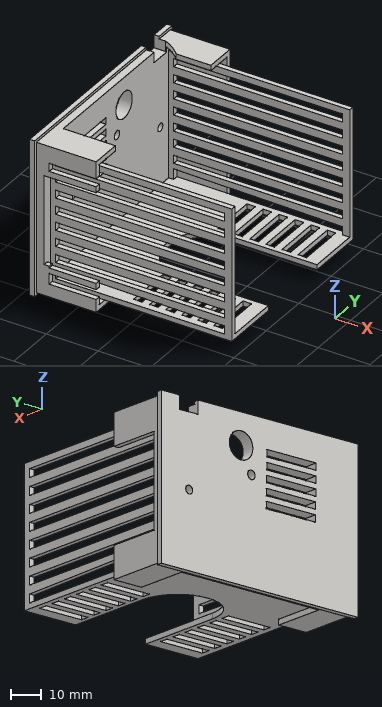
import cadquery as cq

WIDTH = 84.9
HEIGHT = 60.0
LENGTH = 75.0
SHEET = 2.0

PANEL_DEPTH = 5.0
RIM = 1.0

ANGLE_END = 25.1
ANGLE_LEG = 11.9

TRAY_CENTRE_Y = 0.1
TRAY_WIDTH = 75.0
TRAY_BOTTOM = 4.0
TRAY_TOP = 55.0
FLOOR_TOP = TRAY_BOTTOM + SHEET

BAY_CENTRE_Y = 0.3
BAY_WIDTH = 30.0
BAY_START = 26.1

WALL_SLOT_START = 7.0
WALL_SLOT_END = 72.1
WALL_SLOT_HEIGHT = 3.05
WALL_SLOT_PITCH = 6.2
WALL_SLOT_COUNT = 8
LOWEST_SLOT_RISE = 1.0

FLOOR_SLOT_START = 35.4
FLOOR_SLOT_WIDTH = 3.2
FLOOR_SLOT_PITCH = 6.2
FLOOR_SLOT_COUNT = 6
FLOOR_SLOT_LENGTH = 18.0
FLOOR_SLOT_EDGE = 2.0

VENT_LENGTH = 21.1
VENT_HEIGHT = 2.55
VENT_PITCH = 4.5
VENT_COUNT = 5
TOP_VENT_Y = -13.7
TOP_VENT_Z = 48.1
VENT_SHIFT = 0.1

PANEL_HOLES = [
    (8.1, 48.4, 10.0),
    (3.65, 39.1, 3.2),
    (30.5, 28.1, 3.0),
]

NOTCH_Y_MIN = 26.6
NOTCH_Y_MAX = 34.5
NOTCH_DEPTH = 5.0
RELIEF_X = -3.0
RELIEF_Y = 15.9
RELIEF_RADIUS = 20.0


def block(x_range, y_range, z_range):
    """Box spanning the given (low, high) limits."""
    size = [high - low for low, high in (x_range, y_range, z_range)]
    corner = (x_range[0], y_range[0], z_range[0])
    return cq.Workplane("XY").box(*size, centered=False).translate(corner)


def make_panel():
    front = block((0, SHEET), (-WIDTH / 2, WIDTH / 2), (0, HEIGHT))
    backing = block(
        (0, PANEL_DEPTH),
        (RIM - WIDTH / 2, WIDTH / 2 - RIM),
        (RIM, HEIGHT - RIM),
    )
    return front.union(backing)


def make_angles():
    """Four corner angles: a square tube stripped down to its corners."""
    half_width = WIDTH / 2 - RIM
    span = (0, ANGLE_END)
    tube = block(span, (-half_width, half_width), (RIM, HEIGHT - RIM))
    inner = half_width - SHEET
    tube = tube.cut(block(span, (-inner, inner), (RIM + SHEET, HEIGHT - RIM - SHEET)))
    gap_y = half_width - ANGLE_LEG
    tube = tube.cut(block(span, (-gap_y, gap_y), (0, HEIGHT)))
    gap_z = (RIM + ANGLE_LEG, HEIGHT - RIM - ANGLE_LEG)
    return tube.cut(block(span, (-WIDTH / 2, WIDTH / 2), gap_z))


def make_tray():
    """Two side walls joined by a floor with an open-ended round cut-out."""
    low_y = TRAY_CENTRE_Y - TRAY_WIDTH / 2
    high_y = TRAY_CENTRE_Y + TRAY_WIDTH / 2
    span = (SHEET, LENGTH)
    tray = block(span, (low_y, high_y), (TRAY_BOTTOM, TRAY_TOP))
    tray = tray.cut(block(span, (low_y + SHEET, high_y - SHEET), (FLOOR_TOP, TRAY_TOP)))
    radius = BAY_WIDTH / 2
    bay_x = BAY_START + radius
    bay_y = (BAY_CENTRE_Y - radius, BAY_CENTRE_Y + radius)
    bay = block((bay_x, LENGTH), bay_y, (0, FLOOR_TOP))
    bay_end = cq.Workplane("XY").center(bay_x, BAY_CENTRE_Y).circle(radius).extrude(FLOOR_TOP)
    return tray.cut(bay).cut(bay_end)


def make_wall_slots():
    """Slots through both walls and the -Y angles; the +Y angles stay whole."""
    slot_y = (-WIDTH / 2, TRAY_CENTRE_Y + TRAY_WIDTH / 2)
    span = (WALL_SLOT_START, WALL_SLOT_END)
    lowest_top = FLOOR_TOP + WALL_SLOT_HEIGHT
    slots = (
        cq.Workplane("XZ", origin=(0, slot_y[1], 0))
        .polyline([
            (WALL_SLOT_START, FLOOR_TOP),
            (WALL_SLOT_END, FLOOR_TOP),
            (WALL_SLOT_END, lowest_top),
            (WALL_SLOT_START, lowest_top + LOWEST_SLOT_RISE),
        ])
        .close()
        .extrude(slot_y[1] - slot_y[0])
    )
    for index in range(1, WALL_SLOT_COUNT):
        bottom = FLOOR_TOP + index * WALL_SLOT_PITCH
        slots = slots.add(block(span, slot_y, (bottom, bottom + WALL_SLOT_HEIGHT)))
    return slots.combine()


def make_floor_slots():
    near = BAY_WIDTH / 2 + FLOOR_SLOT_EDGE
    far = near + FLOOR_SLOT_LENGTH
    slots = cq.Workplane("XY")
    for index in range(FLOOR_SLOT_COUNT):
        start = FLOOR_SLOT_START + index * FLOOR_SLOT_PITCH
        span = (start, start + FLOOR_SLOT_WIDTH)
        for slot_y in ((near, far), (-far, -near)):
            limits = (BAY_CENTRE_Y + slot_y[0], BAY_CENTRE_Y + slot_y[1])
            slots = slots.add(block(span, limits, (TRAY_BOTTOM, FLOOR_TOP)))
    return slots.combine()


def make_panel_openings():
    openings = cq.Workplane("XY")
    for index in range(VENT_COUNT):
        y = TOP_VENT_Y + index * VENT_SHIFT
        z = TOP_VENT_Z - index * VENT_PITCH
        openings = openings.add(
            block(
                (0, PANEL_DEPTH),
                (y - VENT_LENGTH / 2, y + VENT_LENGTH / 2),
                (z - VENT_HEIGHT / 2, z + VENT_HEIGHT / 2),
            )
        )
    for y, z, diameter in PANEL_HOLES:
        hole = cq.Workplane("YZ").center(y, z).circle(diameter / 2).extrude(PANEL_DEPTH)
        openings = openings.add(hole)
    return openings.combine()


def make_notch():
    """Notch whose inner +Y corner follows the relief, plus the relief in the angle."""
    bottom = HEIGHT - NOTCH_DEPTH
    relief = (
        cq.Workplane("XY", origin=(0, 0, bottom))
        .center(RELIEF_X, RELIEF_Y)
        .circle(RELIEF_RADIUS)
        .extrude(NOTCH_DEPTH)
    )
    notch = block((0, PANEL_DEPTH), (NOTCH_Y_MIN, NOTCH_Y_MAX), (bottom, HEIGHT))
    behind_panel = block((PANEL_DEPTH, ANGLE_END), (0, WIDTH / 2), (bottom, HEIGHT))
    return relief.intersect(notch.union(behind_panel))


result = (
    make_panel()
    .union(make_angles())
    .union(make_tray())
    .cut(make_wall_slots())
    .cut(make_floor_slots())
    .cut(make_panel_openings())
    .cut(make_notch())
)